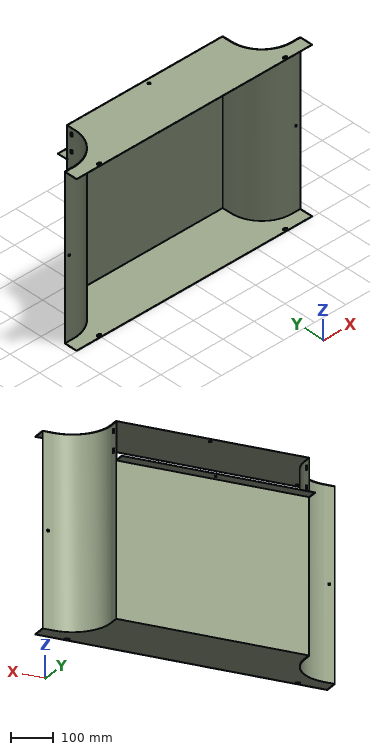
import cadquery as cq

length = 758.0
depth = 198.0
height = 501.0
sheet = 1.0

side_flange_width = 28.0
side_flange_y = 40.0
bend_radius = 100.0

ledge_width = 30.0
back_opening_height = 99.0

small_hole = 5.0
large_hole = 7.0
slot_length = 11.0
slot_width = 7.0
top_hole_from_back = 14.5
plate_slot_x = 299.5
plate_slot_y = 7.5
side_slot_from_back = 15.0
side_slot_drops = (20.0, 70.0)

half_length = length / 2
half_height = height / 2
back_y = depth - ledge_width
half_back = half_length - side_flange_width - bend_radius
bend_x = half_length - side_flange_width
bend_end_y = side_flange_y + bend_radius
bend_mid_offset = bend_radius * 0.5 ** 0.5
ledge_top = half_height - back_opening_height


def box(x_min, x_max, y_min, y_max, z_min, z_max):
    """Axis-aligned block between the given limits."""
    block = cq.Workplane("XY").box(x_max - x_min, y_max - y_min, z_max - z_min, centered=False)
    return block.translate((x_min, y_min, z_min))


def end_plate(z_min):
    """Flat end plate with a concave quarter round at each back corner."""
    return (
        cq.Workplane("XY", origin=(0, 0, z_min))
        .moveTo(-half_length, 0)
        .lineTo(half_length, 0)
        .lineTo(half_length, side_flange_y)
        .lineTo(bend_x, side_flange_y)
        .threePointArc((bend_x - bend_mid_offset, bend_end_y - bend_mid_offset), (half_back, bend_end_y))
        .lineTo(half_back, back_y)
        .lineTo(-half_back, back_y)
        .lineTo(-half_back, bend_end_y)
        .threePointArc((-bend_x + bend_mid_offset, bend_end_y - bend_mid_offset), (-bend_x, side_flange_y))
        .lineTo(-half_length, side_flange_y)
        .close()
        .extrude(sheet)
    )


def side_wall():
    """Right wall: mounting flange, quarter-round bend and straight rear leg."""
    inner_mid_offset = (bend_radius + sheet) * 0.5 ** 0.5
    return (
        cq.Workplane("XY", origin=(0, 0, -half_height))
        .moveTo(half_length, side_flange_y)
        .lineTo(bend_x, side_flange_y)
        .threePointArc((bend_x - bend_mid_offset, bend_end_y - bend_mid_offset), (half_back, bend_end_y))
        .lineTo(half_back, back_y)
        .lineTo(half_back - sheet, back_y)
        .lineTo(half_back - sheet, bend_end_y)
        .threePointArc(
            (bend_x - inner_mid_offset, bend_end_y - inner_mid_offset),
            (bend_x, side_flange_y - sheet),
        )
        .lineTo(half_length, side_flange_y - sheet)
        .close()
        .extrude(height)
    )


def back_with_ledge():
    """Back panel, open above the ledge that projects behind it."""
    panel = box(-half_back, half_back, back_y - sheet, back_y, -half_height, ledge_top)
    ledge = box(-half_back, half_back, back_y - sheet, depth, ledge_top - sheet, ledge_top)
    return panel.union(ledge)


def vertical_hole(y, diameter, plate_top):
    """Cutter for a round hole on the X centre line of one horizontal sheet."""
    start = cq.Workplane("XY", origin=(0, y, plate_top - 2 * sheet))
    return start.circle(diameter / 2).extrude(3 * sheet)


right_wall = side_wall()
result = (
    end_plate(-half_height)
    .union(end_plate(half_height - sheet))
    .union(right_wall)
    .union(right_wall.mirror("YZ"))
    .union(back_with_ledge())
)

result = result.cut(vertical_hole(back_y - top_hole_from_back, large_hole, half_height))
result = result.cut(vertical_hole(back_y + ledge_width / 2, small_hole, ledge_top))

flange_hole_x = half_length - side_flange_width / 2
flange_holes = (
    cq.Workplane("XZ", origin=(0, side_flange_y + sheet, 0))
    .pushPoints([(-flange_hole_x, 0), (flange_hole_x, 0)])
    .circle(small_hole / 2)
    .extrude(3 * sheet)
)
result = result.cut(flange_holes)

plate_slots = (
    cq.Workplane("XY")
    .pushPoints([(-plate_slot_x, plate_slot_y), (plate_slot_x, plate_slot_y)])
    .slot2D(slot_length, slot_width)
    .extrude(height, both=True)
)
result = result.cut(plate_slots)

side_slots = (
    cq.Workplane("YZ")
    .pushPoints([(back_y - side_slot_from_back, half_height - drop) for drop in side_slot_drops])
    .slot2D(slot_length, slot_width, 90)
    .extrude(length, both=True)
)
result = result.cut(side_slots)